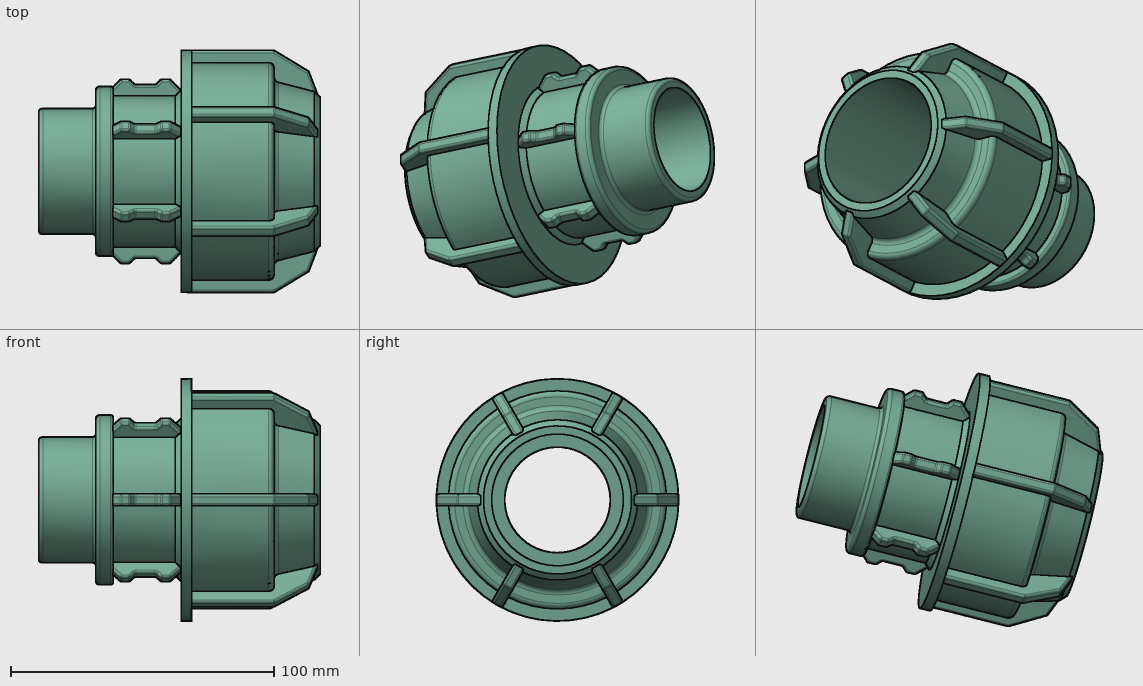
import cadquery as cq
import math


collar_start = 21.7
bore_end = 27.3
collar_end = 28.4
neck_end = 51.9
flange_start = 54.1
flange_thickness = 4.0
flange_end = flange_start + flange_thickness
barrel_end = 89.4
total_length = 107.0

bore_radius = 40.0 / 2
spigot_radius = 47.8 / 2
pipe_socket_radius = 50.0 / 2
collar_radius = 64.53 / 2
neck_radius = 28.8
neck_flare_radius = neck_radius + flange_start - neck_end
flange_radius = 92.0 / 2
barrel_radius = 41.4
nose_base_radius = 34.3
nose_tip_radius = 30.4

spigot_edge_round = 1.5
spigot_root_round = 1.3
collar_front_round = 1.5
collar_back_round = 1.1
barrel_edge_round = 2.2
nose_root_round = 2.2
nose_chamfer = 2.3

rib_count = 6
rib_thickness = 4.5
rib_edge_round = 1.0
rib_corner_round = 1.0
rib_root_radius = 27.0

neck_rib_start = 28.0
neck_rib_end = flange_start + flange_thickness / 2
pad_radius = 35.0
saddle_radius = 33.0
first_pad_start = 31.2
first_pad_end = 34.5
second_pad_start = 46.5
second_pad_end = 49.9
saddle_drop = pad_radius - saddle_radius

nut_rib_start = flange_end
nut_rib_shoulder_x = barrel_end
nut_rib_knee_x = 102.6
nut_rib_knee_radius = 38.0
nut_rib_tip_x = 106.5
nut_rib_tip_radius = 27.7


def rounded_outline(corners):
    """Closed XY outline from (x, y, radius) corners; each radius rounds its corner."""
    outline = None
    for index, (x, y, radius) in enumerate(corners):
        corner = cq.Vector(x, y)
        before = cq.Vector(*corners[index - 1][:2])
        after = cq.Vector(*corners[(index + 1) % len(corners)][:2])
        to_before = (before - corner).normalized()
        to_after = (after - corner).normalized()
        half_angle = to_before.getAngle(to_after) / 2
        tangent_length = radius / math.tan(half_angle)
        arc_start = corner + to_before * tangent_length
        if outline is None:
            outline = cq.Workplane("XY").moveTo(arc_start.x, arc_start.y)
        else:
            outline = outline.lineTo(arc_start.x, arc_start.y)
        if radius > 0:
            bisector = (to_before + to_after).normalized()
            arc_middle = corner + bisector * (radius / math.sin(half_angle) - radius)
            arc_end = corner + to_after * tangent_length
            outline = outline.threePointArc((arc_middle.x, arc_middle.y), (arc_end.x, arc_end.y))
    return outline.close()


def turned_body():
    """Spigot, collar, neck, flange and nut with the stepped bore, as one revolved section."""
    section = [
        (0, bore_radius, 0),
        (0, spigot_radius, spigot_edge_round),
        (collar_start, spigot_radius, spigot_root_round),
        (collar_start, collar_radius, collar_front_round),
        (collar_end, collar_radius, collar_back_round),
        (collar_end, neck_radius, 0),
        (neck_end, neck_radius, 0),
        (flange_start, neck_flare_radius, 0),
        (flange_start, flange_radius, 0),
        (flange_end, flange_radius, 0),
        (flange_end, barrel_radius, 0),
        (barrel_end, barrel_radius, barrel_edge_round),
        (barrel_end, nose_base_radius, nose_root_round),
        (total_length - nose_chamfer, nose_tip_radius, 0),
        (total_length, nose_tip_radius - nose_chamfer, 0),
        (total_length, pipe_socket_radius, 0),
        (bore_end, pipe_socket_radius, 0),
        (bore_end, bore_radius, 0),
    ]
    return rounded_outline(section).revolve(360, (0, 0, 0), (1, 0, 0))


def rib(crest):
    """Radial plate in the XY plane whose outer edge follows the crest, with rounded long edges."""
    root_start = (crest[0][0], rib_root_radius, 0)
    root_end = (crest[-1][0], rib_root_radius, 0)
    plate = rounded_outline([root_start, *crest, root_end]).extrude(rib_thickness / 2, both=True)
    crest_region = cq.selectors.BoxSelector(
        (crest[0][0] + rib_edge_round / 2, rib_root_radius + rib_edge_round / 2, -rib_thickness),
        (crest[-1][0] - rib_edge_round / 2, flange_radius + rib_edge_round, rib_thickness),
    )
    crest_edges = plate.faces("|Z").edges(crest_region)
    return crest_edges.fillet(rib_edge_round)


def neck_rib():
    """Small rib with 45 degree ramps up to its two pads and down to its saddle."""
    start_radius = pad_radius - (first_pad_start - neck_rib_start)
    end_radius = pad_radius - (neck_rib_end - second_pad_end)
    return rib([
        (neck_rib_start, start_radius, 0),
        (first_pad_start, pad_radius, rib_corner_round),
        (first_pad_end, pad_radius, rib_corner_round),
        (first_pad_end + saddle_drop, saddle_radius, rib_corner_round),
        (second_pad_start - saddle_drop, saddle_radius, rib_corner_round),
        (second_pad_start, pad_radius, rib_corner_round),
        (second_pad_end, pad_radius, rib_corner_round),
        (neck_rib_end, end_radius, 0),
    ])


def nut_rib():
    """Large rib running from the flange down to the nose chamfer."""
    return rib([
        (nut_rib_start, flange_radius, 0),
        (nut_rib_shoulder_x, flange_radius, rib_corner_round),
        (nut_rib_knee_x, nut_rib_knee_radius, rib_corner_round),
        (nut_rib_tip_x, nut_rib_tip_radius, 0),
    ])


fitting = turned_body()
neck_rib_shape = neck_rib()
nut_rib_shape = nut_rib()
for number in range(rib_count):
    angle = number * 360 / rib_count
    for rib_shape in (neck_rib_shape, nut_rib_shape):
        fitting = fitting.union(rib_shape.rotate((0, 0, 0), (1, 0, 0), angle))

result = fitting